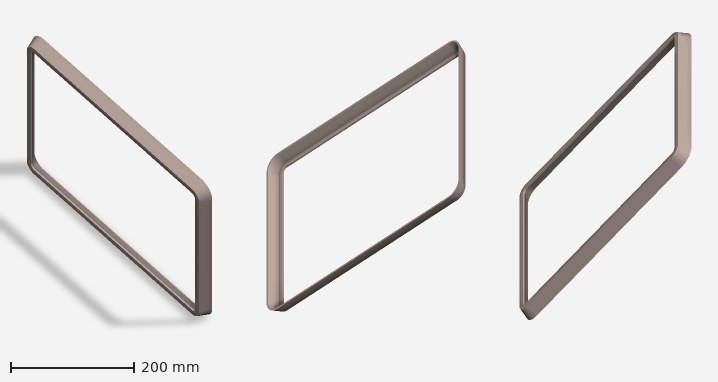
import cadquery as cq
import math

back_width = 446.05
back_height = 329.05
depth = 21.0

front_width = 429.0
flange_width = 10.0
sheet_thickness = 3.0
opening_corner_radius = 8.0

flare_inset = (back_width - front_width) / 2
flare_angle = math.degrees(math.atan2(flare_inset, depth))

opening_inset = flare_inset + flange_width
back_corner_radius = opening_corner_radius + opening_inset

wall_across = sheet_thickness / math.cos(math.radians(flare_angle))


def back_outline(inset):
    """Rounded rectangle in the back plane, set in from the back rim by inset."""
    return (
        cq.Workplane("XZ", origin=(0, depth, 0))
        .sketch()
        .rect(back_width - 2 * inset, back_height - 2 * inset)
        .vertices()
        .fillet(back_corner_radius - inset)
        .finalize()
    )


def flared_block(inset):
    """Rounded block narrowing from the back plane to the front face at Y = 0."""
    return back_outline(inset).extrude(depth, taper=flare_angle)


def cavity():
    """Space inside the side wall and behind the front flange, open at the back."""
    behind_flange = back_outline(0).extrude(depth - sheet_thickness)
    return flared_block(wall_across).intersect(behind_flange)


def opening():
    """Straight through-opening bounded by the front flange."""
    return back_outline(opening_inset).extrude(depth)


result = flared_block(0).cut(cavity()).cut(opening())